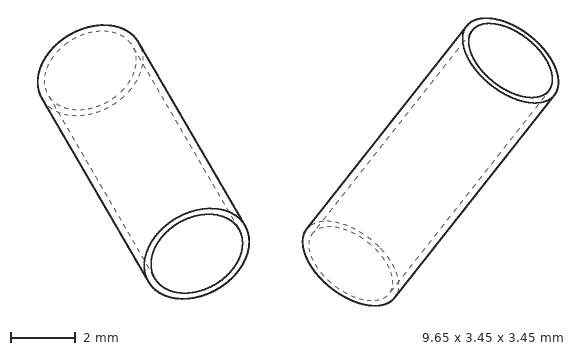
import cadquery as cq

length = 9.65
outer_diameter = 3.45
wall_thickness = 0.22
inner_diameter = outer_diameter - 2 * wall_thickness

result = (
    cq.Workplane("YZ", origin=(-length / 2, 0, 0))
    .circle(outer_diameter / 2)
    .circle(inner_diameter / 2)
    .extrude(length)
)